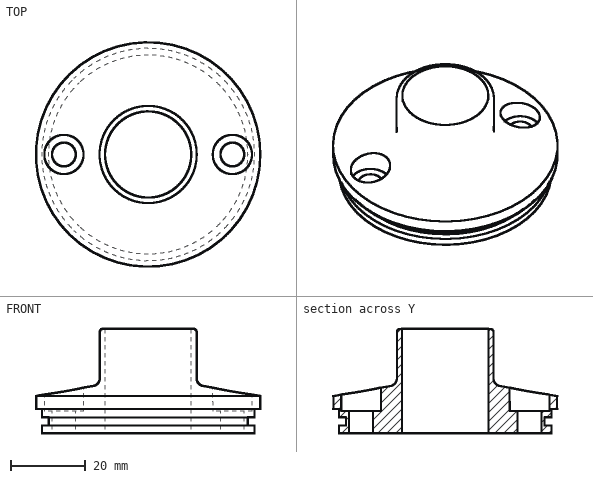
import cadquery as cq
import math

rim_diameter = 60.0
spigot_diameter = 56.8
groove_diameter = 53.2
spigot_step = 2.15
groove_bottom = spigot_step
groove_top = 2 * spigot_step
rim_bottom = 3 * spigot_step
rim_top = 10.0
cone_angle = 10.0

total_height = 28.0
neck_diameter = 26.0
bore_diameter = 23.0
neck_root_fillet = 2.0
neck_lip_fillet = 1.0

screw_spacing = 45.0
screw_diameter = 6.3
counterbore_diameter = 10.5
counterbore_floor = 6.0


def make_body():
    """Revolve the outer profile, with rounded neck root and lip, about Z."""
    rim_radius = rim_diameter / 2
    spigot_radius = spigot_diameter / 2
    groove_radius = groove_diameter / 2
    neck_radius = neck_diameter / 2
    slope = math.radians(cone_angle)

    root_center_r = neck_radius + neck_root_fillet
    root_start_r = root_center_r - neck_root_fillet * math.sin(slope)
    root_start_z = rim_top + (rim_radius - root_start_r) * math.tan(slope)
    root_center_z = root_start_z + neck_root_fillet * math.cos(slope)
    root_mid_angle = (math.pi / 2 - slope) / 2
    root_mid = (
        root_center_r - neck_root_fillet * math.cos(root_mid_angle),
        root_center_z - neck_root_fillet * math.sin(root_mid_angle),
    )

    profile = (
        cq.Workplane("XZ")
        .lineTo(spigot_radius, 0)
        .lineTo(spigot_radius, groove_bottom)
        .lineTo(groove_radius, groove_bottom)
        .lineTo(groove_radius, groove_top)
        .lineTo(spigot_radius, groove_top)
        .lineTo(spigot_radius, rim_bottom)
        .lineTo(rim_radius, rim_bottom)
        .lineTo(rim_radius, rim_top)
        .lineTo(root_start_r, root_start_z)
        .threePointArc(root_mid, (neck_radius, root_center_z))
        .lineTo(neck_radius, total_height)
        .lineTo(0, total_height)
        .close()
    )
    body = profile.revolve(360, (0, 0, 0), (0, 1, 0))
    return body.faces(">Z").edges().fillet(neck_lip_fillet)


def vertical_cylinder(diameter, bottom, x=0):
    """Cutting cylinder from the given height to the top of the part."""
    base = cq.Workplane("XY", origin=(x, 0, bottom))
    return base.circle(diameter / 2).extrude(total_height - bottom)


result = make_body().cut(vertical_cylinder(bore_diameter, 0))

for side in (-1, 1):
    screw_x = side * screw_spacing / 2
    result = result.cut(vertical_cylinder(screw_diameter, 0, screw_x))
    result = result.cut(vertical_cylinder(counterbore_diameter, counterbore_floor, screw_x))